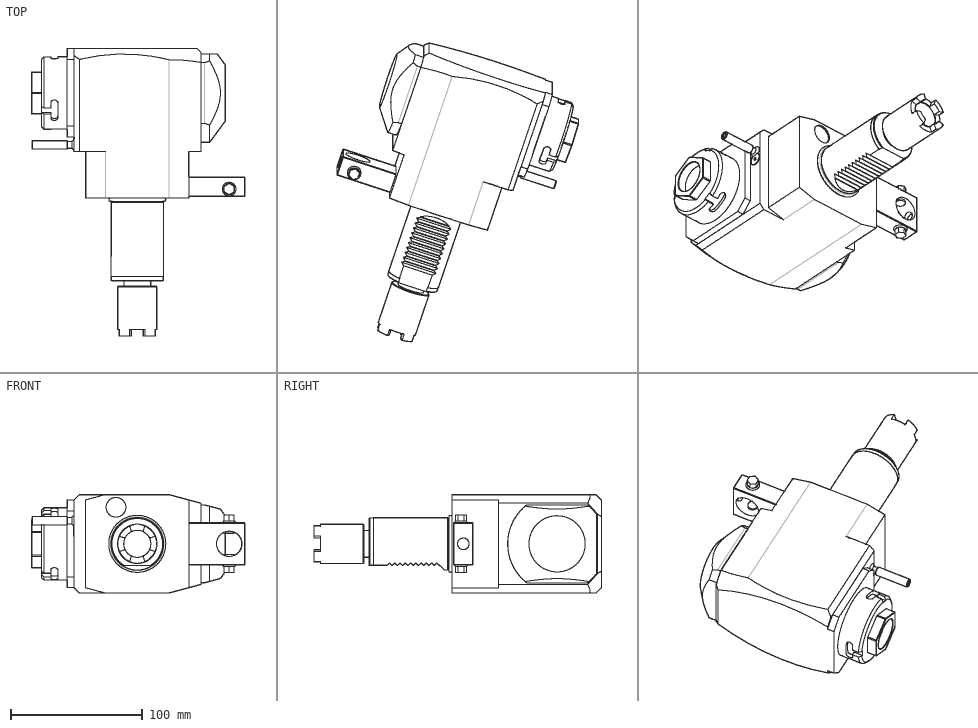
import cadquery as cq
import math


HEX_SIDES = 6

BODY_HALF_Z = 37.5
BODY_BACK_Y = 113.85
HEAD_FRONT_Y = 35.3
HEAD_LEFT_X = -48.0
HEAD_RIGHT_X = 48.5
HEAD_LEFT_CHAMFER = 4.0
HEAD_BACK_CHAMFER = 3.0
NECK_HALF_X = 39.35
SLOPE_START_X = 24.1
SLOPE = math.tan(math.radians(15))
BACK_CONE_RADIUS = 130.0
BACK_CONE_X = -10.5
BACK_BEVEL = 4.2
SPOT_RADIUS = 7.5
SPOT_DEPTH = 1.2
SPOT_X = -16.2
SPOT_Z = 27.8

SPINDLE_Y = 80.0
PLATE_LEFT_X = -53.4
PLATE_FRONT_Y = 46.4
PLATE_HALF_Z = 33.4
PLATE_CORNER = 8.3
NUT_RADIUS = 27.6
NUT_LEFT_X = -73.0
NUT_CHAMFER = 2.0
NUT_SLOT_X = -63.1
NUT_SLOT_WIDTH = 5.4
NUT_SLOT_LENGTH = 18.0
NUT_NOTCH_WIDTH = 5.6
NUT_CUT_FLOOR_RADIUS = 24.8
NUT_CUT_ANGLES = (60, 180, 300)
HEX_LEFT_X = -80.5
HEX_ACROSS_FLATS = 32.0
HEX_BORE_RADIUS = 12.1
HEX_BORE_DEPTH = 7.0
HEX_BORE_CHAMFER = 0.4
HEX_TURNED_RADIUS = 18.2
HEX_FACE_CHAMFER = 0.4

NOZZLE_Y = 40.5
NOZZLE_Z = 17.6
NOZZLE_LEFT_X = -80.2
NOZZLE_RADIUS = 3.25
NOZZLE_CHAMFER = 0.6
NOZZLE_BORE_RADIUS = 2.0
NOZZLE_BORE_DEPTH = 1.0
NOZZLE_NECK_RADIUS = 2.6
NOZZLE_NECK_LEFT_X = -52.9
NOZZLE_NECK_RIGHT_X = -49.8
NOZZLE_BASE_RADIUS = 4.3
PLUG_Z = 10.7
PLUG_RADIUS = 4.8
PLUG_HEIGHT = 0.6
PLUG_HOLE_RADIUS = 1.1
PLUG_HOLE_DEPTH = 2.0

CAP_RADIUS = 37.6
CAP_RIM_X = 55.1
CAP_END_X = 67.0
CAP_END_RADIUS = 21.4
CAP_BACK_Y = 109.8
CAP_HALF_Z = 29.7
CAP_SLOPE_START_X = 51.2

RING_RADIUS = 21.7
RING_WIDTH = 2.4
SHANK_RADIUS = 20.0
SHANK_START_Y = -3.4
SHANK_START_CHAMFER = 0.8
SHANK_TIP_Y = -59.7
SHANK_TIP_RADIUS = 19.8
SHANK_TIP_CHAMFER = 0.5
SHANK_END_Y = -63.0
DRIVE_NECK_RADIUS = 10.3
DRIVE_RADIUS = 15.0
DRIVE_START_Y = -67.0
DRIVE_CHAMFER = 0.5
CLAW_GAP_FLOOR_Y = -100.0
DRIVE_END_Y = -105.0
CLAW_BORE_FLOOR_Y = -99.2
CLAW_BORE_RADIUS = 10.3
CLAW_GAP_COUNT = 4
CLAW_GAP_INNER = 8.8
CLAW_GAP_OUTER = 12.5
RACK_FLAT_Z = -16.4
RACK_RAMP_END_Y = -9.2
RACK_FIRST_Y = -11.5
RACK_PITCH = 4.0
RACK_GROOVES = 10
RACK_DEPTH = 1.8

ARM_END_X = 82.0
ARM_FRONT_Y = 1.1
ARM_BACK_Y = 16.2
ARM_HALF_Z = 16.1
ARM_CHAMFER = 0.5
ARM_HOLE_X = 69.9
ARM_HOLE_RADIUS = 9.6
ARM_SCREW_Y = 6.9
ARM_SIDE_HOLE_RADIUS = 4.4
SCREW_FLANGE_RADIUS = 5.2
SCREW_FLANGE_TOP_RADIUS = 4.2
SCREW_FLANGE_HEIGHT = 1.2
SCREW_HEX_FLATS = 7.5
SCREW_TOP_Z = 22.0
SCREW_TIP_RADIUS = 3.8
SCREW_TIP_Z = 8.0


def box(x0, x1, y0, y1, z0, z1):
    """Block between two opposite corners."""
    return cq.Workplane("XY").box(x1 - x0, y1 - y0, z1 - z0, centered=False).translate((x0, y0, z0))


def x_disc(radius, x0, x1, y, z):
    """Cylinder along X."""
    return cq.Workplane("YZ", origin=(x0, y, z)).circle(radius).extrude(x1 - x0)


def revolve_about_x(profile, y, z):
    """Turn an (x, radius) profile about the X-parallel axis through (y, z)."""
    turned = cq.Workplane("XY").polyline(profile).close().revolve(360, (0, 0, 0), (1, 0, 0))
    return turned.translate((0, y, z))


def revolve_about_y(profile):
    """Turn a (radius, y) profile about the Y axis."""
    return cq.Workplane("XY").polyline(profile).close().revolve(360, (0, 0, 0), (0, 1, 0))


def y_prism(points, y0, y1):
    """Extrude an (x, z) outline from y0 to y1."""
    return cq.Workplane("XZ", origin=(0, y1, 0)).polyline(points).close().extrude(y1 - y0)


def mirrored_outline(upper):
    """Close an (x, z) upper contour with its mirror image in Z."""
    return upper + [(x, -z) for x, z in reversed(upper)]


def slope_z(x):
    """Half height of the housing on the right-hand slope."""
    return BODY_HALF_Z - (x - SLOPE_START_X) * SLOPE


def make_head():
    """Rear block of the housing, sloped towards the cap side."""
    upper = [
        (HEAD_LEFT_X, BODY_HALF_Z - HEAD_LEFT_CHAMFER),
        (HEAD_LEFT_X + HEAD_LEFT_CHAMFER, BODY_HALF_Z),
        (SLOPE_START_X, BODY_HALF_Z),
        (HEAD_RIGHT_X, slope_z(HEAD_RIGHT_X)),
    ]
    head = y_prism(mirrored_outline(upper), HEAD_FRONT_Y, BODY_BACK_Y)
    return head.faces(">X").edges(">Y").chamfer(HEAD_BACK_CHAMFER)


def make_neck():
    """Narrower front block, sloped on both sides and ending at the mounting face."""
    upper = [
        (-NECK_HALF_X, slope_z(NECK_HALF_X)),
        (-SLOPE_START_X, BODY_HALF_Z),
        (SLOPE_START_X, BODY_HALF_Z),
        (NECK_HALF_X, slope_z(NECK_HALF_X)),
    ]
    return y_prism(mirrored_outline(upper), 0, HEAD_FRONT_Y)


def bevel_back(body):
    """Trim the upper and lower back edges with large 45 degree cones."""
    length = BODY_BACK_Y
    cone = cq.Workplane("XY").polyline(
        [(0, 0), (BACK_CONE_RADIUS + length, 0), (BACK_CONE_RADIUS, length), (0, length)]
    ).close().revolve(360, (0, 0, 0), (0, 1, 0))
    offset = BODY_HALF_Z - BACK_BEVEL - BACK_CONE_RADIUS
    for z in (offset, -offset):
        body = body.intersect(cone.translate((BACK_CONE_X, 0, z)))
    return body


def make_plate():
    """Octagonal face plate on the tool side."""
    plate = box(PLATE_LEFT_X, HEAD_LEFT_X, PLATE_FRONT_Y, BODY_BACK_Y, -PLATE_HALF_Z, PLATE_HALF_Z)
    return plate.edges("|X").chamfer(PLATE_CORNER)


def make_nut():
    """Clamping nut with three T-shaped wrench cuts in its rim."""
    nut = x_disc(NUT_RADIUS, NUT_LEFT_X, PLATE_LEFT_X, SPINDLE_Y, 0).faces("<X").chamfer(NUT_CHAMFER)
    notch_length = NUT_SLOT_X - NUT_LEFT_X
    notch = cq.Workplane("XY", origin=(NUT_LEFT_X, 0, 0)).rect(
        2 * notch_length, NUT_NOTCH_WIDTH
    ).extrude(2 * NUT_RADIUS)
    slot = cq.Workplane("XY", origin=(NUT_SLOT_X, 0, 0)).slot2D(
        NUT_SLOT_LENGTH, NUT_SLOT_WIDTH, 90
    ).extrude(2 * NUT_RADIUS)
    core = x_disc(NUT_CUT_FLOOR_RADIUS, NUT_LEFT_X - notch_length, PLATE_LEFT_X, 0, 0)
    cut_shape = notch.union(slot).cut(core)
    for angle in NUT_CUT_ANGLES:
        cutter = cut_shape.rotate((0, 0, 0), (1, 0, 0), 90 - angle)
        nut = nut.cut(cutter.translate((0, SPINDLE_Y, 0)))
    return nut


def make_hex():
    """Hexagon with a blind bore on the spindle axis."""
    corner_diameter = HEX_ACROSS_FLATS / math.cos(math.pi / HEX_SIDES)
    hexagon = cq.Workplane("YZ", origin=(HEX_LEFT_X, SPINDLE_Y, 0)).transformed(rotate=(0, 0, 90)).polygon(
        HEX_SIDES, corner_diameter
    ).extrude(NUT_LEFT_X - HEX_LEFT_X)
    turned = x_disc(HEX_TURNED_RADIUS, HEX_LEFT_X, NUT_LEFT_X, SPINDLE_Y, 0)
    bore_profile = [
        (HEX_LEFT_X, 0),
        (HEX_LEFT_X, HEX_BORE_RADIUS + HEX_BORE_CHAMFER),
        (HEX_LEFT_X + HEX_BORE_CHAMFER, HEX_BORE_RADIUS),
        (HEX_LEFT_X + HEX_BORE_DEPTH, HEX_BORE_RADIUS),
        (HEX_LEFT_X + HEX_BORE_DEPTH, 0),
    ]
    hexagon = hexagon.intersect(turned).faces("<X").chamfer(HEX_FACE_CHAMFER)
    return hexagon.cut(revolve_about_x(bore_profile, SPINDLE_Y, 0))


def make_nozzle():
    """Coolant nozzle with a neck and a flared base."""
    profile = [
        (NOZZLE_LEFT_X, 0),
        (NOZZLE_LEFT_X, NOZZLE_RADIUS - NOZZLE_CHAMFER),
        (NOZZLE_LEFT_X + NOZZLE_CHAMFER, NOZZLE_RADIUS),
        (NOZZLE_NECK_LEFT_X - NOZZLE_CHAMFER, NOZZLE_RADIUS),
        (NOZZLE_NECK_LEFT_X, NOZZLE_NECK_RADIUS),
        (NOZZLE_NECK_RIGHT_X, NOZZLE_NECK_RADIUS),
        (HEAD_LEFT_X, NOZZLE_BASE_RADIUS),
        (HEAD_LEFT_X, 0),
    ]
    nozzle = revolve_about_x(profile, NOZZLE_Y, NOZZLE_Z)
    bore_end_x = NOZZLE_LEFT_X + NOZZLE_BORE_DEPTH
    return nozzle.cut(x_disc(NOZZLE_BORE_RADIUS, NOZZLE_LEFT_X, bore_end_x, NOZZLE_Y, NOZZLE_Z))


def add_plug(body):
    """Flat plug with a small central hole beside the nozzle."""
    plug_left_x = HEAD_LEFT_X - PLUG_HEIGHT
    hole_end_x = plug_left_x + PLUG_HOLE_DEPTH
    body = body.union(x_disc(PLUG_RADIUS, plug_left_x, HEAD_LEFT_X, NOZZLE_Y, PLUG_Z))
    return body.cut(x_disc(PLUG_HOLE_RADIUS, plug_left_x, hole_end_x, NOZZLE_Y, PLUG_Z))


def make_cap():
    """Coned rear cap, flattened at the back and sloped above and below."""
    profile = [
        (HEAD_RIGHT_X, 0),
        (HEAD_RIGHT_X, CAP_RADIUS),
        (CAP_RIM_X, CAP_RADIUS),
        (CAP_END_X, CAP_END_RADIUS),
        (CAP_END_X, 0),
    ]
    cap = revolve_about_x(profile, SPINDLE_Y, 0)
    upper = [
        (HEAD_RIGHT_X, CAP_HALF_Z),
        (CAP_SLOPE_START_X, CAP_HALF_Z),
        (CAP_END_X, CAP_HALF_Z - (CAP_END_X - CAP_SLOPE_START_X) * SLOPE),
    ]
    return cap.intersect(y_prism(mirrored_outline(upper), SPINDLE_Y - CAP_RADIUS, CAP_BACK_Y))


def make_sealing_ring():
    """Ring with a half-round rim between the mounting face and the shank."""
    rim_start = RING_RADIUS - RING_WIDTH / 2
    profile = cq.Workplane("XY").lineTo(rim_start, 0).threePointArc(
        (RING_RADIUS, -RING_WIDTH / 2), (rim_start, -RING_WIDTH)
    ).lineTo(0, -RING_WIDTH).close()
    return profile.revolve(360, (0, 0, 0), (0, 1, 0))


def make_shank():
    """Cylindrical clamping shank with a rack underneath."""
    profile = [
        (0, 0),
        (SHANK_RADIUS - SHANK_START_CHAMFER, 0),
        (SHANK_RADIUS - SHANK_START_CHAMFER, SHANK_START_Y + SHANK_START_CHAMFER),
        (SHANK_RADIUS, SHANK_START_Y),
        (SHANK_RADIUS, SHANK_TIP_Y),
        (SHANK_TIP_RADIUS, SHANK_TIP_Y),
        (SHANK_TIP_RADIUS, SHANK_END_Y + SHANK_TIP_CHAMFER),
        (SHANK_TIP_RADIUS - SHANK_TIP_CHAMFER, SHANK_END_Y),
        (0, SHANK_END_Y),
    ]
    return cut_rack(revolve_about_y(profile))


def cut_rack(shank):
    """Flat with a 45 degree run-out and V grooves across the underside of the shank."""
    below_z = -2 * SHANK_RADIUS
    ramp_start_y = RACK_RAMP_END_Y + (RACK_FLAT_Z - below_z)
    outline = cq.Workplane("YZ", origin=(-SHANK_RADIUS, 0, 0)).moveTo(SHANK_END_Y, RACK_FLAT_Z)
    for index in reversed(range(RACK_GROOVES)):
        y = RACK_FIRST_Y - index * RACK_PITCH
        outline = outline.lineTo(y - RACK_DEPTH, RACK_FLAT_Z)
        outline = outline.lineTo(y, RACK_FLAT_Z + RACK_DEPTH)
        outline = outline.lineTo(y + RACK_DEPTH, RACK_FLAT_Z)
    outline = outline.lineTo(RACK_RAMP_END_Y, RACK_FLAT_Z)
    outline = outline.lineTo(ramp_start_y, below_z)
    outline = outline.lineTo(SHANK_END_Y, below_z).close()
    return shank.cut(outline.extrude(2 * SHANK_RADIUS))


def make_drive():
    """Drive coupling: a necked cylinder ending in a ring of claws around a shallow bore."""
    profile = [
        (0, SHANK_END_Y),
        (DRIVE_NECK_RADIUS, SHANK_END_Y),
        (DRIVE_NECK_RADIUS, DRIVE_START_Y),
        (DRIVE_RADIUS - DRIVE_CHAMFER, DRIVE_START_Y),
        (DRIVE_RADIUS, DRIVE_START_Y - DRIVE_CHAMFER),
        (DRIVE_RADIUS, DRIVE_END_Y),
        (CLAW_BORE_RADIUS, DRIVE_END_Y),
        (CLAW_BORE_RADIUS, CLAW_BORE_FLOOR_Y),
        (0, CLAW_BORE_FLOOR_Y),
    ]
    drive = revolve_about_y(profile)
    gap_inner_z = math.sqrt(CLAW_BORE_RADIUS**2 - (CLAW_GAP_INNER / 2) ** 2)
    gap = y_prism(
        [
            (-CLAW_GAP_INNER / 2, gap_inner_z),
            (CLAW_GAP_INNER / 2, gap_inner_z),
            (CLAW_GAP_OUTER / 2, DRIVE_RADIUS),
            (-CLAW_GAP_OUTER / 2, DRIVE_RADIUS),
        ],
        DRIVE_END_Y,
        CLAW_GAP_FLOOR_Y,
    )
    for index in range(CLAW_GAP_COUNT):
        drive = drive.cut(gap.rotate((0, 0, 0), (0, 1, 0), index * 360 / CLAW_GAP_COUNT))
    return drive


def make_screw():
    """Upper clamping screw: a flanged hexagon head whose tip reaches into the arm hole."""
    flange_top_z = ARM_HALF_Z + SCREW_FLANGE_HEIGHT
    base = cq.Workplane("XY", origin=(ARM_HOLE_X, ARM_SCREW_Y, 0))
    tip = base.workplane(offset=SCREW_TIP_Z).circle(SCREW_TIP_RADIUS).extrude(ARM_HALF_Z - SCREW_TIP_Z)
    flange = base.workplane(offset=ARM_HALF_Z).circle(SCREW_FLANGE_RADIUS).workplane(
        offset=SCREW_FLANGE_HEIGHT
    ).circle(SCREW_FLANGE_TOP_RADIUS).loft(ruled=True)
    corner_diameter = SCREW_HEX_FLATS / math.cos(math.pi / HEX_SIDES)
    head = base.workplane(offset=flange_top_z).transformed(rotate=(0, 0, 90)).polygon(
        HEX_SIDES, corner_diameter
    ).extrude(SCREW_TOP_Z - flange_top_z)
    return tip.union(flange).union(head)


def make_arm():
    """Locating arm with a through hole, a hole in its end and two clamping screws."""
    arm = box(NECK_HALF_X, ARM_END_X, ARM_FRONT_Y, ARM_BACK_Y, -ARM_HALF_Z, ARM_HALF_Z)
    arm = arm.edges("|X").chamfer(ARM_CHAMFER).faces(">X").chamfer(ARM_CHAMFER)
    side_hole_y = (ARM_FRONT_Y + ARM_BACK_Y) / 2
    hole = cq.Workplane("XZ", origin=(ARM_HOLE_X, ARM_BACK_Y, 0)).circle(ARM_HOLE_RADIUS).extrude(ARM_BACK_Y)
    arm = arm.cut(hole).cut(x_disc(ARM_SIDE_HOLE_RADIUS, ARM_HOLE_X, ARM_END_X, side_hole_y, 0))
    screw = make_screw()
    return arm.union(screw).union(screw.mirror("XY"))


def cut_spot(body):
    """Shallow round recess in the mounting face."""
    spot = cq.Workplane("XZ", origin=(SPOT_X, SPOT_DEPTH, SPOT_Z)).circle(SPOT_RADIUS).extrude(SPOT_DEPTH)
    return body.cut(spot)


housing = bevel_back(make_head().union(make_neck()))
housing = cut_spot(housing).union(make_plate())
result = add_plug(housing)
attached_parts = [
    make_nut(),
    make_hex(),
    make_nozzle(),
    make_cap(),
    make_sealing_ring(),
    make_shank(),
    make_drive(),
    make_arm(),
]
for attached_part in attached_parts:
    result = result.union(attached_part)